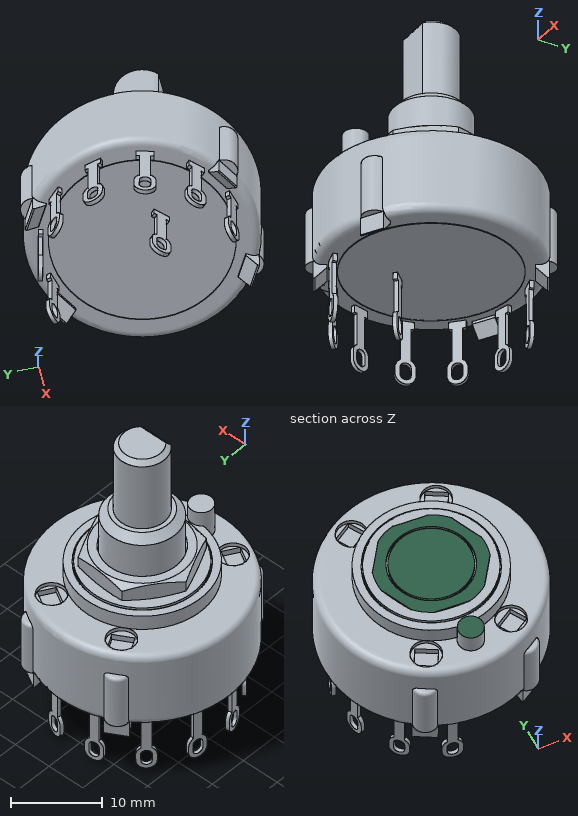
import cadquery as cq


body_diameter = 26.0
body_height = 10.5
body_edge_radius = 1.0
base_plate_diameter = 20.5
base_plate_thickness = 0.1

collar_diameter = 17.28
collar_height = 2.0
washer_diameter = 15.0
washer_recess_diameter = 15.3
washer_recess_depth = 0.2
washer_projection = 0.15

bushing_diameter = 9.5
bushing_height = 10.0
bushing_chamfer = 1.0

nut_corner_diameter = 14.3
nut_thickness = 2.3
nut_bore_diameter = 9.85
nut_face_diameter = 12.0
nut_corner_drop = 0.47
nut_angle = -5.5

shaft_diameter = 6.35
shaft_length = 10.0
shaft_chamfer = 0.6
shaft_flat_distance = 2.35
flat_depth_in_bushing = 1.0

pin_diameter = 3.0
pin_height = 4.0
pin_offset = 9.5

corner_angles = [60, 120, 240, 300]
rib_diameter = 3.0
rib_axis_radius = 12.3
rib_bottom = 0.45
rib_top = 7.6
rib_edge_radius = 0.45
clip_width = 2.9
clip_outer_radius = 12.9
clip_drop = 1.7
clip_depth = 1.55
clip_tip_depth = 0.2
clip_taper_start = 0.35
hole_diameter = 3.55
hole_depth = 0.5
hole_circle_radius = 10.37
window_radial_size = 2.2
window_radial_shift = 0.15
window_tangent_size = 2.6
window_depth = 0.75

terminal_count = 7
terminal_pitch = 30
first_terminal_angle = 75
terminal_angles = [first_terminal_angle + terminal_pitch * i for i in range(terminal_count)]
terminal_radius = 11.1
common_terminal_angle = 225
common_terminal_radius = 3.8
terminal_thickness = 0.5
terminal_length = 7.99
terminal_width = 1.2
shoulder_width = 1.95
shoulder_length = 0.95
eye_width = 2.4
eye_slot_width = 1.25
eye_straight = 0.85

overlap = 0.5

collar_top = body_height + collar_height
nut_bottom = collar_top + washer_projection
nut_top = nut_bottom + nut_thickness
bushing_top = body_height + bushing_height
shaft_top = bushing_top + shaft_length


def cylinder(diameter, bottom, top):
    return cq.Workplane("XY").workplane(offset=bottom).circle(diameter / 2).extrude(top - bottom)


def at_polar(shape, radius, angle):
    """Move a shape out along +X, then turn it about Z."""
    return shape.translate((radius, 0, 0)).rotate((0, 0, 0), (0, 0, 1), angle)


def make_body():
    shell = cylinder(body_diameter, 0, body_height).edges().fillet(body_edge_radius)
    base_plate = cylinder(base_plate_diameter, -base_plate_thickness, overlap)
    collar = cylinder(collar_diameter, body_height - overlap, collar_top)
    recess = cylinder(washer_recess_diameter, collar_top - washer_recess_depth, collar_top)
    washer = cylinder(washer_diameter, collar_top - washer_recess_depth, nut_bottom)
    return shell.union(base_plate).union(collar).cut(recess).union(washer)


def make_nut():
    hexagon = (
        cq.Workplane("XY")
        .workplane(offset=nut_bottom)
        .polygon(6, nut_corner_diameter)
        .extrude(nut_thickness)
        .rotate((0, 0, 0), (0, 0, 1), nut_angle)
    )
    face_radius = nut_face_diameter / 2
    corner_radius = nut_corner_diameter / 2
    corner_envelope = (
        cq.Workplane("XZ")
        .moveTo(0, nut_bottom)
        .lineTo(face_radius, nut_bottom)
        .lineTo(corner_radius, nut_bottom + nut_corner_drop)
        .lineTo(corner_radius, nut_top - nut_corner_drop)
        .lineTo(face_radius, nut_top)
        .lineTo(0, nut_top)
        .close()
        .revolve(360, (0, 0, 0), (0, 1, 0))
    )
    return hexagon.intersect(corner_envelope).cut(cylinder(nut_bore_diameter, nut_bottom, nut_top))


def make_bushing():
    bushing = cylinder(bushing_diameter, body_height, bushing_top)
    bushing = bushing.faces(">Z").edges().chamfer(bushing_chamfer)
    bore = cylinder(shaft_diameter, bushing_top - flat_depth_in_bushing, bushing_top)
    return bushing.cut(bore)


def make_shaft():
    bottom = bushing_top - flat_depth_in_bushing
    flat_cutter = (
        cq.Workplane("XY")
        .box(shaft_diameter, shaft_diameter, shaft_top - bottom, centered=(True, False, False))
        .translate((0, -shaft_flat_distance - shaft_diameter, bottom))
    )
    shaft = cylinder(shaft_diameter, bottom, shaft_top).cut(flat_cutter)
    return shaft.faces(">Z").edges().chamfer(shaft_chamfer)


def make_pin():
    pin = cylinder(pin_diameter, body_height - overlap, body_height + pin_height)
    return pin.translate((0, -pin_offset, 0))


def make_rib():
    return cylinder(rib_diameter, rib_bottom, rib_top).faces(">Z").edges().fillet(rib_edge_radius)


def make_clip():
    """Tapered tab below a rib, with its flat outer face on the YZ plane."""
    return (
        cq.Workplane("XZ")
        .moveTo(0, rib_bottom)
        .lineTo(0, -clip_drop)
        .lineTo(-clip_tip_depth, -clip_drop)
        .lineTo(-clip_depth, -clip_taper_start)
        .lineTo(-clip_depth, rib_bottom)
        .close()
        .extrude(clip_width / 2, both=True)
    )


def make_top_hole():
    """Round recess with a rectangular window in its floor."""
    floor = body_height - hole_depth
    window = (
        cq.Workplane("XY")
        .workplane(offset=floor - window_depth)
        .center(window_radial_shift, 0)
        .rect(window_radial_size, window_tangent_size)
        .extrude(window_depth)
    )
    return cylinder(hole_diameter, floor, body_height).union(window)


def make_terminal():
    """Flat solder lug in the YZ plane with an elongated eye at its lower end."""
    eye_centre = -terminal_length + (eye_width + eye_straight) / 2

    def plate(width, bottom, top):
        height = top - bottom
        return cq.Workplane("YZ").center(0, bottom + height / 2).rect(width, height)

    def slot(width):
        return cq.Workplane("YZ").center(0, eye_centre).slot2D(width + eye_straight, width, 90)

    half = terminal_thickness / 2
    shoulder = plate(shoulder_width, -shoulder_length, overlap).extrude(half, both=True)
    stem = plate(terminal_width, eye_centre, overlap).extrude(half, both=True)
    eye = slot(eye_width).extrude(half, both=True)
    eye_slot = slot(eye_slot_width).extrude(terminal_thickness, both=True)
    return shoulder.union(stem).union(eye).cut(eye_slot)


result = make_body().union(make_bushing()).union(make_shaft()).union(make_nut()).union(make_pin())

for corner_angle in corner_angles:
    result = result.union(at_polar(make_rib(), rib_axis_radius, corner_angle))
    result = result.union(at_polar(make_clip(), clip_outer_radius, corner_angle))
    result = result.cut(at_polar(make_top_hole(), hole_circle_radius, corner_angle))

for terminal_angle in terminal_angles:
    result = result.union(at_polar(make_terminal(), terminal_radius, terminal_angle))
result = result.union(at_polar(make_terminal(), common_terminal_radius, common_terminal_angle))